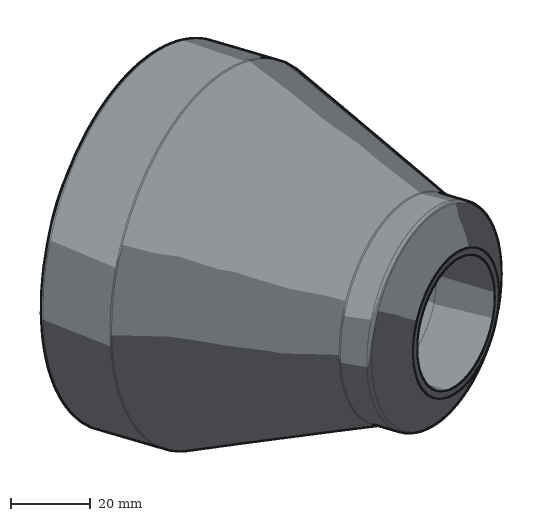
import cadquery as cq
import math

length = 100.0
large_diameter = 101.6
small_diameter = 60.4
large_bore = 66.6
small_bore = 35.3
land_width = 1.9
bevel_angle = 30.0
taper_start = 30.0
taper_end = 85.0
bore_taper_start = 17.5
bore_taper_end = 82.5
edge_radius = 1.2

large_radius = large_diameter / 2
small_radius = small_diameter / 2
large_bore_radius = large_bore / 2
small_bore_radius = small_bore / 2
large_land_radius = large_bore_radius + land_width
small_land_radius = small_bore_radius + land_width
bevel_slope = math.tan(math.radians(bevel_angle))
large_bevel_end = (large_radius - large_land_radius) * bevel_slope
small_bevel_start = length - (small_radius - small_land_radius) * bevel_slope

large_end_corners = [(0, large_bore_radius), (0, large_land_radius)]
outer_corners = [
    (large_bevel_end, large_radius),
    (taper_start, large_radius),
    (taper_end, small_radius),
    (small_bevel_start, small_radius),
]
small_end_corners = [(length, small_land_radius), (length, small_bore_radius)]
bore_corners = [
    (bore_taper_end, small_bore_radius),
    (bore_taper_start, large_bore_radius),
]
section_corners = large_end_corners + outer_corners + small_end_corners + bore_corners

reducer = cq.Workplane("XY").polyline(section_corners).close().revolve(360, (0, 0, 0), (1, 0, 0))


def circle_at(x, radius):
    """Select the circular edge of the given radius around the axis at x."""
    margin = 0.1
    reach = radius + margin
    return cq.selectors.BoxSelector(
        (x - margin, -reach, -reach),
        (x + margin, reach, reach),
        boundingbox=True,
    )


for corner_x, corner_radius in outer_corners:
    reducer = reducer.edges(circle_at(corner_x, corner_radius)).fillet(edge_radius)

result = reducer